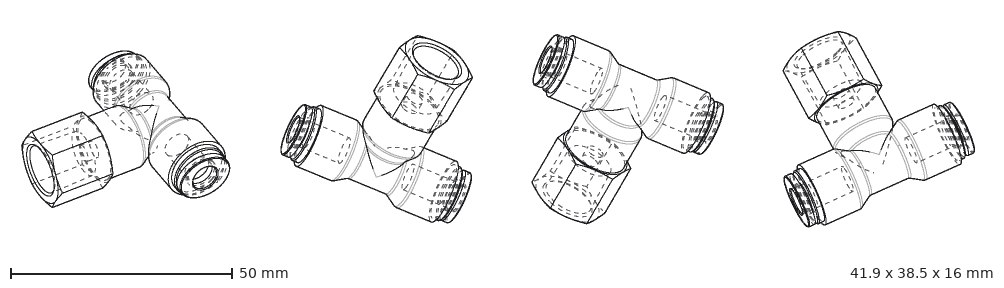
import cadquery as cq
import math

run_length = 41.9
branch_length = 31.0

barrel_diameter = 14.9
neck_diameter = 11.05
neck_end = 4.95
barrel_start = 8.05
blend_radius = 1.05
run_arm_length = 17.05
branch_arm_length = 16.93

port_diameter = 6.2
port_floor = barrel_start

collar_diameter = 13.15
collar_face = 18.65
collar_chamfer = 0.3

sleeve_neck_diameter = 7.5
flange_width = 13.0
flange_height = 10.98
flange_thickness = 1.65
flange_chamfer = 0.2
port_chamfer = 0.25

nut_across_flats = 16.0
nut_across_corners = nut_across_flats / math.cos(math.radians(30))
nut_corner_chamfer_height = 0.45
nut_corner_chamfer_width = 1.25
thread_mouth_diameter = 12.45
thread_large_diameter = 11.4
thread_small_diameter = 10.7
thread_depth = 11.3
passage_diameter = 4.0


def point_left(shape):
    """Turn a shape built along +Z so that it points along -X."""
    return shape.rotate((0, 0, 0), (0, 1, 0), -90)


def point_front(shape):
    """Turn a shape built along +Z so that it points along -Y."""
    return shape.rotate((0, 0, 0), (1, 0, 0), 90)


def on_both_ends(shape):
    """Return the shape turned to the -X end of the run and its copy on the +X end."""
    left = point_left(shape)
    return [left, left.mirror("YZ")]


def disc(diameter, start, end):
    """Cylinder on the Z axis between two heights."""
    return cq.Workplane("XY").workplane(offset=start).circle(diameter / 2).extrude(end - start)


def make_arm(length):
    """Neck, flare and barrel along +Z, with both ends of the flare rounded."""
    profile = [
        (0, 0),
        (neck_diameter / 2, 0),
        (neck_diameter / 2, neck_end),
        (barrel_diameter / 2, barrel_start),
        (barrel_diameter / 2, length),
        (0, length),
    ]
    arm = cq.Workplane("XZ").polyline(profile).close().revolve(360, (0, 0, 0), (0, 1, 0))
    for height in (neck_end, barrel_start):
        arm = arm.edges(cq.NearestToPointSelector((0, 0, height))).fillet(blend_radius)
    return arm


def make_tee_body():
    """Three arms joined in a tee, with a blind tube port in each end of the run."""
    body = point_front(make_arm(branch_arm_length))
    for arm in on_both_ends(make_arm(run_arm_length)):
        body = body.union(arm)
    for port in on_both_ends(disc(port_diameter, port_floor, run_arm_length)):
        body = body.cut(port)
    return body


def make_collar():
    """Ring on the end of a run arm, chamfered round its outer face."""
    collar = disc(collar_diameter, run_arm_length, collar_face)
    collar = collar.faces(">Z").edges().chamfer(collar_chamfer)
    return collar.cut(disc(port_diameter, run_arm_length, collar_face))


def make_sleeve():
    """Short tube with an oval flange; its port has a chamfered mouth."""
    end = run_length / 2
    flange_start = end - flange_thickness
    flange = (
        cq.Workplane("XY")
        .workplane(offset=flange_start)
        .ellipse(flange_height / 2, flange_width / 2)
        .extrude(flange_thickness)
        .faces(">Z")
        .edges()
        .chamfer(flange_chamfer)
    )
    sleeve = flange.union(disc(sleeve_neck_diameter, collar_face, flange_start))
    sleeve = sleeve.cut(disc(port_diameter, collar_face, end))
    return sleeve.faces(">Z").edges("%CIRCLE").chamfer(port_chamfer)


def make_nut():
    """Hexagon with its corners turned off at both ends, and the tapered bore."""
    start = branch_arm_length
    end = branch_length
    height = end - start
    nut = (
        cq.Workplane("XY")
        .workplane(offset=start)
        .polygon(6, nut_across_corners)
        .extrude(height)
    )
    corner_limit = (
        cq.Workplane("XY")
        .workplane(offset=start)
        .circle(nut_across_flats / 2 + nut_corner_chamfer_width)
        .extrude(height)
        .faces("<Z or >Z")
        .edges()
        .chamfer(nut_corner_chamfer_height, nut_corner_chamfer_width)
    )
    nut = nut.intersect(corner_limit)

    mouth_chamfer = (thread_mouth_diameter - thread_large_diameter) / 2
    bore_profile = [
        (0, end),
        (thread_mouth_diameter / 2, end),
        (thread_large_diameter / 2, end - mouth_chamfer),
        (thread_small_diameter / 2, end - thread_depth),
        (0, end - thread_depth),
    ]
    bore = cq.Workplane("XZ").polyline(bore_profile).close().revolve(360, (0, 0, 0), (0, 1, 0))
    passage = disc(passage_diameter, start, end)
    return nut.cut(bore).cut(passage)


tee_body = make_tee_body()
collars = on_both_ends(make_collar())
sleeves = on_both_ends(make_sleeve())
nut = point_front(make_nut())

result = cq.Compound.makeCompound(
    [
        tee_body.solids().val(),
        *[collar.solids().val() for collar in collars],
        *[sleeve.solids().val() for sleeve in sleeves],
        nut.solids().val(),
    ]
)